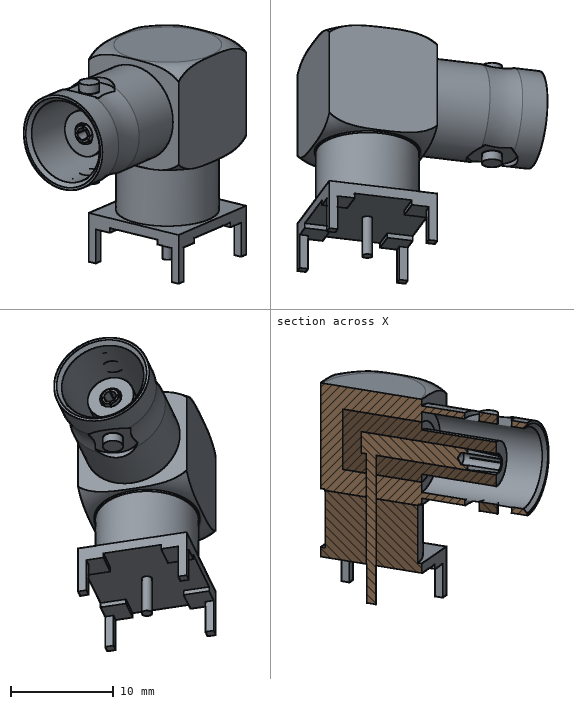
import cadquery as cq

TOTAL_HEIGHT = 22.1
CUBE_SIDE = 11.0
HALF_CUBE = CUBE_SIDE / 2
FOOT_Z = 0.0
AXIS_Z = TOTAL_HEIGHT - HALF_CUBE
CUBE_BOTTOM_Z = TOTAL_HEIGHT - CUBE_SIDE

CUBE_FACE_DIAMETER = 10.55
CUBE_ROUND_RADIUS = 3.2
COLLAR_HEIGHT = 0.13
COLLAR_TOP_DIAMETER = 10.33

SHELL_DIAMETER = 9.65
SHELL_LENGTH = 11.45
SHELL_FRONT_Y = -HALF_CUBE - SHELL_LENGTH
BORE_DIAMETER = 8.3
MOUTH_CHAMFER = 0.4
WAIST_LENGTH = 3.32
WAIST_DEPTH = 0.18

BAYONET_Y = SHELL_FRONT_Y + 4.25
BAYONET_DIAMETER = 2.0
BAYONET_SEAT = 4.2
BAYONET_REACH = 5.15
FLAT_DIAMETER = 5.03
FLAT_REACH = 4.25

INSULATOR_NOSE_DIAMETER = 4.65
INSULATOR_NOSE_Y = SHELL_FRONT_Y + 3.37
INSULATOR_FLANGE_DIAMETER = 6.2
INSULATOR_FRONT_Y = -HALF_CUBE
INSULATOR_BACK_Y = INSULATOR_FLANGE_DIAMETER / 2

CONTACT_DIAMETER = 2.15
CONTACT_TIP_DIAMETER = 1.73
CONTACT_TAPER_LENGTH = 3.37
CONTACT_TIP_Y = INSULATOR_NOSE_Y - 0.22
CONTACT_BACK_Y = CONTACT_DIAMETER / 2
SOCKET_DIAMETER = 1.2
SOCKET_DEPTH = 4.05
SOCKET_POINT_LENGTH = 0.35
SLOT_WIDTH = 0.07
SLOT_DEPTH = 3.37
TAIL_DIAMETER = 1.0

BARREL_DIAMETER = 10.1
BARREL_TOP_Z = CUBE_BOTTOM_Z - COLLAR_HEIGHT
PLATE_TOP_Z = 5.05
PLATE_BOTTOM_Z = 4.02
PAD_BOTTOM_Z = 3.53
PAD_GAP = 5.85
PAD_SIDE = (CUBE_SIDE - PAD_GAP) / 2
LEG_SIDE = 0.85


def cylinder_along_y(diameter, y_start, y_end):
    """Round bar on the connector axis between two Y positions."""
    plane = cq.Plane(origin=(0, y_start, AXIS_Z), xDir=(1, 0, 0), normal=(0, 1, 0))
    return cq.Workplane(plane).circle(diameter / 2).extrude(y_end - y_start)


def cylinder_along_z(diameter, z_start, z_end, y=0.0):
    """Upright round bar between two heights."""
    return cq.Workplane("XY", origin=(0, y, z_start)).circle(diameter / 2).extrude(z_end - z_start)


def turned_about_connector_axis(profile):
    """Revolve a profile whose X is the radius and whose Y is the place along the axis."""
    return profile.revolve(360, (0, 0, 0), (0, 1, 0)).translate((0, 0, AXIS_Z))


def cube_block():
    """Cube trimmed by an upright cylinder with rounded rims, which rounds off its eight corners."""
    cube = cq.Workplane("XY", origin=(0, 0, AXIS_Z)).box(CUBE_SIDE, CUBE_SIDE, CUBE_SIDE)
    envelope_diameter = CUBE_FACE_DIAMETER + 2 * CUBE_ROUND_RADIUS
    envelope = cylinder_along_z(envelope_diameter, CUBE_BOTTOM_Z, TOTAL_HEIGHT)
    return cube.intersect(envelope.edges("%CIRCLE").fillet(CUBE_ROUND_RADIUS))


def collar():
    """Short taper that joins the cube to the barrel of the base."""
    return (
        cq.Workplane("XY", origin=(0, 0, BARREL_TOP_Z))
        .circle(BARREL_DIAMETER / 2)
        .workplane(offset=COLLAR_HEIGHT)
        .circle(COLLAR_TOP_DIAMETER / 2)
        .loft()
    )


def shell_tube():
    """Tube with a hollow waist, a plain bore and a chamfered mouth."""
    outer = SHELL_DIAMETER / 2
    bore = BORE_DIAMETER / 2
    profile = (
        cq.Workplane("XY")
        .moveTo(bore, -HALF_CUBE)
        .lineTo(outer, -HALF_CUBE)
        .lineTo(outer, BAYONET_Y + WAIST_LENGTH / 2)
        .threePointArc((outer - WAIST_DEPTH, BAYONET_Y), (outer, BAYONET_Y - WAIST_LENGTH / 2))
        .lineTo(outer, SHELL_FRONT_Y)
        .lineTo(bore + MOUTH_CHAMFER, SHELL_FRONT_Y)
        .lineTo(bore, SHELL_FRONT_Y + MOUTH_CHAMFER)
        .close()
    )
    return turned_about_connector_axis(profile)


def make_bayonet_pin(side):
    """Pin set into the shell wall; side is +1 for the upper pin and -1 for the lower pin."""
    inner_z = AXIS_Z + side * BAYONET_SEAT
    outer_z = AXIS_Z + side * BAYONET_REACH
    return cylinder_along_z(BAYONET_DIAMETER, inner_z, outer_z, BAYONET_Y)


def make_insulator():
    """Stepped insulator with a bore for the contact."""
    flange = cylinder_along_y(INSULATOR_FLANGE_DIAMETER, INSULATOR_FRONT_Y, INSULATOR_BACK_Y)
    nose = cylinder_along_y(INSULATOR_NOSE_DIAMETER, INSULATOR_NOSE_Y, INSULATOR_FRONT_Y)
    contact_hole = cylinder_along_y(CONTACT_DIAMETER, INSULATOR_NOSE_Y, CONTACT_BACK_Y)
    tail_hole = cylinder_along_z(TAIL_DIAMETER, FOOT_Z, AXIS_Z)
    return flange.union(nose).cut(contact_hole).cut(tail_hole)


def make_contact():
    """Right-angle contact: a slotted, tapered socket in front and a straight tail below."""
    taper_end_y = CONTACT_TIP_Y + CONTACT_TAPER_LENGTH
    rod = turned_about_connector_axis(
        cq.Workplane("XY")
        .moveTo(0, CONTACT_TIP_Y)
        .lineTo(CONTACT_TIP_DIAMETER / 2, CONTACT_TIP_Y)
        .lineTo(CONTACT_DIAMETER / 2, taper_end_y)
        .lineTo(CONTACT_DIAMETER / 2, CONTACT_BACK_Y)
        .lineTo(0, CONTACT_BACK_Y)
        .close()
    )
    socket = turned_about_connector_axis(
        cq.Workplane("XY")
        .moveTo(0, CONTACT_TIP_Y)
        .lineTo(SOCKET_DIAMETER / 2, CONTACT_TIP_Y)
        .lineTo(SOCKET_DIAMETER / 2, CONTACT_TIP_Y + SOCKET_DEPTH)
        .lineTo(0, CONTACT_TIP_Y + SOCKET_DEPTH + SOCKET_POINT_LENGTH)
        .close()
    )
    contact = rod.union(cylinder_along_z(TAIL_DIAMETER, FOOT_Z, AXIS_Z)).cut(socket)
    slot_center = (0, CONTACT_TIP_Y + SLOT_DEPTH / 2, AXIS_Z)
    for width, height in ((SLOT_WIDTH, CONTACT_DIAMETER), (CONTACT_DIAMETER, SLOT_WIDTH)):
        slot = cq.Workplane("XY", origin=slot_center).box(width, SLOT_DEPTH, height)
        contact = contact.cut(slot)
    return contact


def make_housing(bayonet_pins):
    """Cube with the shell in front, recessed for the insulator, the pins and the tail."""
    shell = shell_tube()
    for side in (1, -1):
        flat_cutter = cylinder_along_z(
            FLAT_DIAMETER, AXIS_Z + side * FLAT_REACH, AXIS_Z + side * SHELL_DIAMETER / 2, BAYONET_Y
        )
        shell = shell.cut(flat_cutter)
    housing = cube_block().union(collar()).union(shell)
    for pin in bayonet_pins:
        housing = housing.cut(pin)
    insulator_recess = cylinder_along_y(INSULATOR_FLANGE_DIAMETER, INSULATOR_FRONT_Y, INSULATOR_BACK_Y)
    tail_hole = cylinder_along_z(TAIL_DIAMETER, FOOT_Z, AXIS_Z)
    return housing.cut(insulator_recess).cut(tail_hole)


def make_base():
    """Barrel on a square plate with a pad and a leg under each corner."""
    plate = cq.Workplane("XY", origin=(0, 0, PLATE_BOTTOM_Z)).rect(CUBE_SIDE, CUBE_SIDE)
    base = plate.extrude(PLATE_TOP_Z - PLATE_BOTTOM_Z)
    base = base.union(cylinder_along_z(BARREL_DIAMETER, PLATE_TOP_Z, BARREL_TOP_Z))
    for side, bottom_z in ((PAD_SIDE, PAD_BOTTOM_Z), (LEG_SIDE, FOOT_Z)):
        spacing = CUBE_SIDE - side
        posts = (
            cq.Workplane("XY", origin=(0, 0, bottom_z))
            .rarray(spacing, spacing, 2, 2)
            .rect(side, side)
            .extrude(PLATE_BOTTOM_Z - bottom_z)
        )
        base = base.union(posts)
    return base.cut(cylinder_along_z(TAIL_DIAMETER, FOOT_Z, BARREL_TOP_Z))


bayonet_pins = [make_bayonet_pin(side) for side in (1, -1)]
housing = make_housing(bayonet_pins)
insulator = make_insulator()
contact = make_contact()
base = make_base()

bodies = [housing, base, insulator, contact, *bayonet_pins]
result = cq.Compound.makeCompound([body.solids().val() for body in bodies])